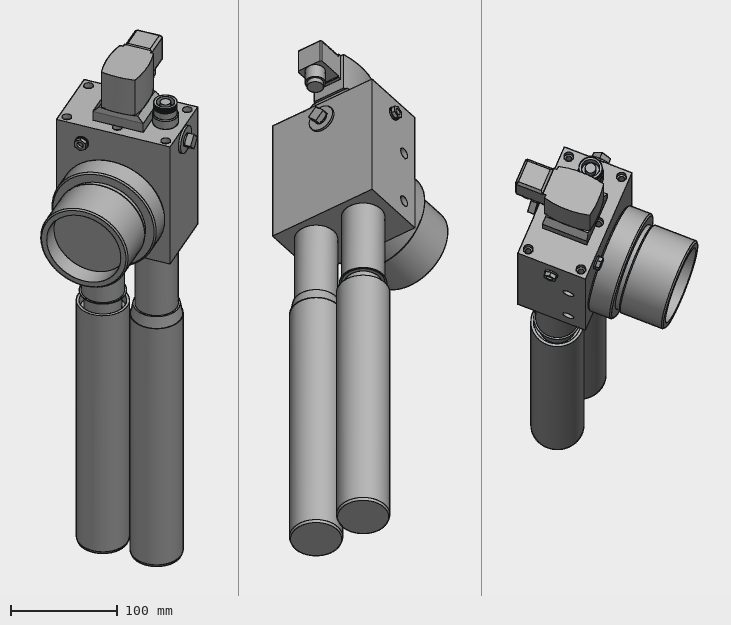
import cadquery as cq

BLOCK_X = 115.0
BLOCK_Y = 68.5
BLOCK_Z = 136.0
RIGHT = BLOCK_X / 2
LEFT = -RIGHT
BACK = BLOCK_Y / 2
FRONT = -BACK

CORNER_HOLE_X = 50.0
CORNER_HOLE_Y = 26.7
TOP_BORE_DIA = 9.0
TOP_BORE_DEPTH = 6.0
TOP_HOLE_DIA = 5.5
TOP_HOLE_DEPTH = 20.0
MIDDLE_HOLE_Y = -24.0
PORT_DIA = 10.8
PORT_DEPTH = 15.0
PORT_Y = -17.0
PORT_HEIGHTS = (21.0, 80.0)

GAUGE_Z = 51.3
FLANGE_DIA = 105.5
FLANGE_LENGTH = 24.0
FLANGE_CHAMFER = 1.5
NECK_DIA = 85.0
NECK_LENGTH = 4.3
DRUM_DIA = 88.4
DRUM_LENGTH = 44.5
DRUM_CHAMFER = 1.5
DIAL_DIA = 75.0
DIAL_DEPTH = 18.0

ROD_SPACING = 54.4
ROD_Y = 6.5
ROD_DIA = 40.9
ROD_LENGTH = 81.0
COLLAR_LENGTH = 12.0
BARREL_DIA = 50.0
BARREL_END = -370.0
BARREL_CHAMFER_HEIGHT = 2.8
BARREL_CHAMFER_INSET = 1.0
BARREL_BORE_DEPTH = 10.0
GROOVE_DIA = 35.4
LIP_DIA = 44.4
LIP_THICKNESS = 0.6
SHOULDER_DIA = 49.0

SOLENOID_HEIGHT = 58.0
BASE_X = 51.0
BASE_Y = 45.0
BASE_HEIGHT = 10.2
BASE_TOP_X = 39.0
BASE_TOP_Y = 43.0
BASE_TOTAL_HEIGHT = 16.6
COIL_FRONT_WIDTH = 34.0
COIL_MIDDLE_WIDTH = 39.9
COIL_LENGTH = 47.5
COIL_FRONT_BULGE = 1.5
PLUG_WIDTH = 27.5
PLUG_HEIGHT = 27.3
PLUG_TOP_BEVEL = 2.5
PLUG_CORNER_BEVEL = 1.5
PLUG_REACH = 20.7
PLUG_COLLAR_LENGTH = 3.2
PLUG_COLLAR_DROP = 1.6
GLAND_DIA = 19.0
GLAND_LENGTH = 14.5
GLAND_TIP_DIA = 15.5
GLAND_TIP_LENGTH = 5.0

CONNECTOR_X = 38.8
CONNECTOR_BASE_DIA = 24.5
CONNECTOR_BASE_HEIGHT = 11.0
CONNECTOR_DIA = 22.0
CONNECTOR_HEIGHT = 24.0
CONNECTOR_CHAMFER = 1.0
CONNECTOR_GROOVE_DIA = 21.0
CONNECTOR_GROOVE_WIDTH = 1.5
CONNECTOR_GROOVE_COUNT = 2
CONNECTOR_BORE_DIA = 17.0
CONNECTOR_CORE_DIA = 10.0
CONNECTOR_BORE_DEPTH = 8.0

VENT_DROP = 19.2
VENT_X = -31.4
VENT_FLANGE_DIA = 13.0
VENT_FLANGE_LENGTH = 1.5
VENT_SIDES = 6
VENT_CORNER_DIA = 12.5
VENT_REACH = 5.3
VENT_SOCKET_DIA = 6.3
VENT_SOCKET_DEPTH = 3.0
CAP_FLANGE_DIA = 27.0
CAP_FLANGE_LENGTH = 2.2
CAP_NECK_DIA = 13.0
CAP_NECK_LENGTH = 1.5
CAP_SIDES = 4
CAP_CORNER_DIA = 17.0
CAP_REACH = 10.2
RIGHT_CAP_DROP = 14.2
REAR_CAP_DROP = 20.8


def plane_at(plane, distance):
    return cq.Workplane(plane).workplane(offset=distance)


def disc(plane, dia, start, end):
    """Cylinder along the plane normal, between two distances from the plane."""
    return plane_at(plane, start).circle(dia / 2).extrude(end - start)


def prism(plane, sides, corner_dia, start, end):
    """Regular prism along the plane normal, with one corner on the plane's own X axis."""
    return plane_at(plane, start).polygon(sides, corner_dia).extrude(end - start)


def facing(origin, normal):
    """Plane on a side face, with its own X pointing up."""
    return cq.Plane(origin=origin, xDir=(0, 0, 1), normal=normal)


def make_block():
    block = cq.Workplane("XY").box(BLOCK_X, BLOCK_Y, BLOCK_Z, centered=(True, True, False))
    top = plane_at("XY", BLOCK_Z)
    corners = top.rect(2 * CORNER_HOLE_X, 2 * CORNER_HOLE_Y, forConstruction=True).vertices()
    block = block.cut(corners.circle(TOP_BORE_DIA / 2).extrude(-TOP_BORE_DEPTH))
    block = block.cut(corners.circle(TOP_HOLE_DIA / 2).extrude(-TOP_HOLE_DEPTH))
    middle = top.center(0, MIDDLE_HOLE_Y)
    block = block.cut(middle.circle(TOP_BORE_DIA / 2).extrude(-TOP_BORE_DEPTH))
    block = block.cut(middle.circle(TOP_HOLE_DIA / 2).extrude(-TOP_HOLE_DEPTH))
    for height in PORT_HEIGHTS:
        port = facing((LEFT, PORT_Y, height), (-1, 0, 0))
        block = block.cut(disc(port, PORT_DIA, -PORT_DEPTH, 0))
    return block


def make_gauge():
    axis = facing((0, FRONT, GAUGE_Z), (0, -1, 0))
    neck_end = FLANGE_LENGTH + NECK_LENGTH
    drum_end = neck_end + DRUM_LENGTH
    flange = disc(axis, FLANGE_DIA, 0, FLANGE_LENGTH).edges().chamfer(FLANGE_CHAMFER)
    neck = disc(axis, NECK_DIA, FLANGE_LENGTH, neck_end)
    drum = disc(axis, DRUM_DIA, neck_end, drum_end).edges().chamfer(DRUM_CHAMFER)
    dial = disc(axis, DIAL_DIA, drum_end - DIAL_DEPTH, drum_end)
    return flange.union(neck).union(drum).cut(dial)


def make_barrel(plane):
    top = -ROD_LENGTH - COLLAR_LENGTH
    bottom_edge = disc(plane, BARREL_DIA, BARREL_END, top).faces("<Z").edges()
    return bottom_edge.chamfer(BARREL_CHAMFER_HEIGHT, BARREL_CHAMFER_INSET)


def make_grooved_cylinder():
    """Rod with a thin lip and a narrow neck that enters the open top of its barrel."""
    axis = cq.Plane(origin=(-ROD_SPACING / 2, ROD_Y, 0))
    rod = disc(axis, ROD_DIA, -ROD_LENGTH, 0)
    lip = disc(axis, LIP_DIA, -ROD_LENGTH - LIP_THICKNESS, -ROD_LENGTH)
    barrel_top = -ROD_LENGTH - COLLAR_LENGTH
    bore_floor = barrel_top - BARREL_BORE_DEPTH
    barrel = make_barrel(axis).cut(disc(axis, LIP_DIA, bore_floor, barrel_top))
    groove = disc(axis, GROOVE_DIA, bore_floor, -ROD_LENGTH)
    return rod.union(lip).union(groove).union(barrel)


def make_shouldered_cylinder():
    """Rod with a tapered shoulder above its barrel."""
    axis = cq.Plane(origin=(ROD_SPACING / 2, ROD_Y, 0))
    rod = disc(axis, ROD_DIA, -ROD_LENGTH, 0)
    shoulder = (
        plane_at(axis, -ROD_LENGTH - COLLAR_LENGTH)
        .circle(SHOULDER_DIA / 2)
        .workplane(offset=COLLAR_LENGTH)
        .circle(LIP_DIA / 2)
        .loft()
    )
    return rod.union(shoulder).union(make_barrel(axis))


def make_solenoid_base():
    base = plane_at("XY", BLOCK_Z).rect(BASE_X, BASE_Y).extrude(BASE_HEIGHT)
    slope = (
        plane_at("XY", BLOCK_Z + BASE_HEIGHT)
        .rect(BASE_X, BASE_Y)
        .workplane(offset=BASE_TOTAL_HEIGHT - BASE_HEIGHT)
        .rect(BASE_TOP_X, BASE_TOP_Y)
        .loft()
    )
    return base.union(slope)


def make_coil():
    """Barrel-sided coil housing, slightly rounded in front and flat behind."""
    half_front = COIL_FRONT_WIDTH / 2
    half_middle = COIL_MIDDLE_WIDTH / 2
    half_length = COIL_LENGTH / 2
    front_corner = COIL_FRONT_BULGE - half_length
    return (
        plane_at("XY", BLOCK_Z + BASE_TOTAL_HEIGHT)
        .moveTo(-half_front, front_corner)
        .threePointArc((0, -half_length), (half_front, front_corner))
        .threePointArc((half_middle, 0), (half_front, half_length))
        .lineTo(-half_front, half_length)
        .threePointArc((-half_middle, 0), (-half_front, front_corner))
        .close()
        .extrude(SOLENOID_HEIGHT - BASE_TOTAL_HEIGHT)
    )


def make_plug():
    """Cable plug behind the coil, with a gland pointing down."""
    top = BLOCK_Z + SOLENOID_HEIGHT
    bottom = top - PLUG_HEIGHT
    start = COIL_LENGTH / 2
    end = BACK + PLUG_REACH
    gland_y = end - GLAND_DIA / 2
    body_start = start + PLUG_COLLAR_LENGTH
    body_size = (PLUG_WIDTH, end - body_start, PLUG_HEIGHT)
    body = cq.Workplane("XY").box(*body_size, centered=(True, False, False))
    body = body.edges("|Z and >Y").chamfer(PLUG_CORNER_BEVEL).faces(">Z").chamfer(PLUG_TOP_BEVEL)
    body = body.translate((0, body_start, bottom))
    collar_size = (PLUG_WIDTH, PLUG_COLLAR_LENGTH, PLUG_HEIGHT + PLUG_COLLAR_DROP)
    collar = cq.Workplane("XY").box(*collar_size, centered=(True, False, False))
    collar = collar.translate((0, start, bottom - PLUG_COLLAR_DROP))
    axis = cq.Plane(origin=(0, gland_y, bottom))
    gland = disc(axis, GLAND_DIA, -GLAND_LENGTH, 0)
    tip = disc(axis, GLAND_TIP_DIA, -GLAND_LENGTH - GLAND_TIP_LENGTH, -GLAND_LENGTH)
    return body.union(collar).union(gland).union(tip)


def make_connector():
    axis = cq.Plane(origin=(CONNECTOR_X, 0, BLOCK_Z))
    bore_floor = CONNECTOR_HEIGHT - CONNECTOR_BORE_DEPTH
    base = disc(axis, CONNECTOR_BASE_DIA, 0, CONNECTOR_BASE_HEIGHT).edges().chamfer(CONNECTOR_CHAMFER)
    body = disc(axis, CONNECTOR_DIA, 0, CONNECTOR_HEIGHT)
    for groove in range(1, CONNECTOR_GROOVE_COUNT + 1):
        top = CONNECTOR_HEIGHT - (2 * groove - 1) * CONNECTOR_GROOVE_WIDTH
        bottom = top - CONNECTOR_GROOVE_WIDTH
        floor = disc(axis, CONNECTOR_GROOVE_DIA, bottom, top)
        body = body.cut(disc(axis, CONNECTOR_DIA, bottom, top).cut(floor))
    bore = disc(axis, CONNECTOR_BORE_DIA, bore_floor, CONNECTOR_HEIGHT)
    core = disc(axis, CONNECTOR_CORE_DIA, 0, CONNECTOR_HEIGHT)
    return body.union(base).cut(bore).union(core)


def make_vent(axis):
    """Flanged hexagon screw with a round socket."""
    flange = disc(axis, VENT_FLANGE_DIA, 0, VENT_FLANGE_LENGTH)
    head = prism(axis, VENT_SIDES, VENT_CORNER_DIA, 0, VENT_REACH)
    socket = disc(axis, VENT_SOCKET_DIA, VENT_REACH - VENT_SOCKET_DEPTH, VENT_REACH)
    return flange.union(head).cut(socket)


def make_cap(axis):
    """Wide flange, short neck and square head standing on a corner."""
    neck_end = CAP_FLANGE_LENGTH + CAP_NECK_LENGTH
    flange = disc(axis, CAP_FLANGE_DIA, 0, CAP_FLANGE_LENGTH)
    neck = disc(axis, CAP_NECK_DIA, 0, neck_end)
    head = prism(axis, CAP_SIDES, CAP_CORNER_DIA, neck_end, CAP_REACH)
    return flange.union(neck).union(head)


front_vent = facing((VENT_X, FRONT, BLOCK_Z - VENT_DROP), (0, -1, 0))
left_vent = facing((LEFT, 0, BLOCK_Z - VENT_DROP), (-1, 0, 0))
right_cap = facing((RIGHT, 0, BLOCK_Z - RIGHT_CAP_DROP), (1, 0, 0))
rear_cap = facing((0, BACK, BLOCK_Z - REAR_CAP_DROP), (0, 1, 0))

result = make_block()
for feature in (
    make_gauge(),
    make_grooved_cylinder(),
    make_shouldered_cylinder(),
    make_solenoid_base(),
    make_coil(),
    make_plug(),
    make_connector(),
    make_vent(front_vent),
    make_vent(left_vent),
    make_cap(right_cap),
    make_cap(rear_cap),
):
    result = result.union(feature)